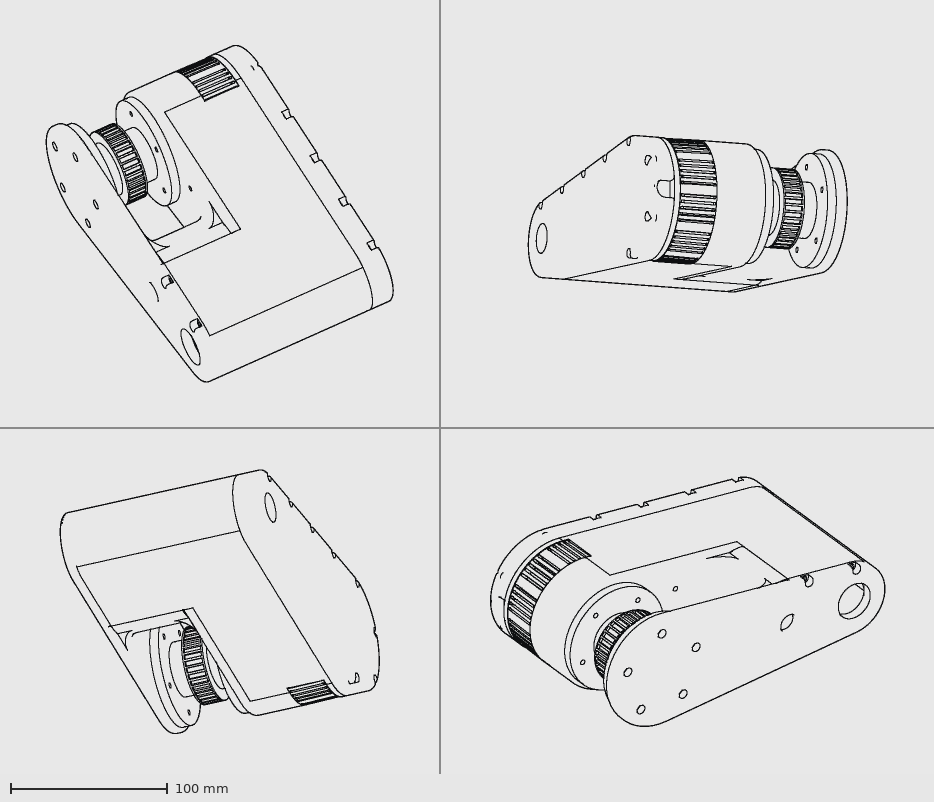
import cadquery as cq
import math

HEAD_RADIUS = 39.5
TAIL_RADIUS = 25.0
TAIL_X = 150.0
SLOPE_SIN = (HEAD_RADIUS - TAIL_RADIUS) / TAIL_X
SLOPE_COS = math.sqrt(1 - SLOPE_SIN**2)

FAR = 3 * TAIL_X

PLATE_THICKNESS = 7.0
FORK_GAP = 49.0
GAP_FRONT_Y = PLATE_THICKNESS
GAP_BACK_Y = GAP_FRONT_Y + FORK_GAP
WALL_BACK_Y = GAP_BACK_Y + PLATE_THICKNESS
LID_THICKNESS = 16.0
BACK_Y = 135.0
LID_FRONT_Y = BACK_Y - LID_THICKNESS
EDGE_FILLET = 2.0

NECK_X = 100.0
NECK_RADIUS = HEAD_RADIUS - SLOPE_SIN * NECK_X
NECK_FILLET = 10.0
NECK_TANGENT_X = NECK_X + NECK_RADIUS * SLOPE_SIN
NECK_HOLE_DIAMETER = 12.6
NECK_HOLE_DEPTH = 6.0
NECK_HOLE_FILLET = 2.2

TAIL_BORE_DIAMETER = 25.0
LID_BORE_DIAMETER = 19.0

HEAD_CAP_X = HEAD_RADIUS * SLOPE_SIN
END_CAP_X = TAIL_X + TAIL_BORE_DIAMETER / 2

SCREW_HEAD_DIAMETER = 6.0
SCREW_HEAD_DEPTH = 5.5
SCREW_HOLE_DIAMETER = 3.3
EDGE_SCREW_INSET = 2.45
WALL_SCREW_POINT = (50.0, 16.4)
LID_SCREW_XS = (41.0, 78.0, 115.0, 152.0)
ARM_SCREW_XS = LID_SCREW_XS[2:]
LID_HEAD_SCREW_RADIUS = 36.5
LID_HEAD_SCREW_ANGLES = (90, 150, 210, 270)

DISC_DIAMETER = 73.0
DISC_THICKNESS = 6.0
DISC_SCREW_COUNT = 5
DISC_SCREW_RADIUS = 28.0
FRONT_DISC_SCREW_ANGLE = 90.0
BACK_DISC_SCREW_ANGLE = 54.0
SHAFT_DIAMETER = 36.0
PULLEY_DIAMETER = 51.0
PULLEY_WIDTH = 14.0
PULLEY_RIM = 1.1
PULLEY_TEETH = 36
TOOTH_GAP_WIDTH = 3.0
TOOTH_GAP_DEPTH = 2.0

GRILLE_FRONT_Y = 90.0
GRILLE_BACK_Y = 115.0
GRILLE_BACK_RADIUS = 39.0
GRILLE_INNER_RADIUS = 36.0
GRILLE_HALF_ANGLE = 102.0
RECESS_CLEARANCE = 1.0
SLOT_FRONT_Y = 90.8
SLOT_BACK_Y = 114.0
SLOT_END_SLOPE = 3.0
SLOT_WIDTH = 1.6
SLOT_PITCH = 6.0
SLOTS_PER_GROUP = 5
SLOT_GROUP_PITCH = 36.0
SLOT_GROUP_COUNT = 6

NOTCH_RADIUS = 5.9
NOTCH_CENTRE_Y = 124.4
NOTCH_DEPTH = 8.0
NOTCH_FILLET = 2.5

TOLERANCE = 0.01


def plane_at(y):
    return cq.Workplane("XZ", origin=(0, y, 0))


def outline_prism(front_y, back_y, inset=0):
    """Full tapered outline, moved inward by the inset, between two positions along Y."""
    head_radius = HEAD_RADIUS - inset
    tail_radius = TAIL_RADIUS - inset
    head_x, head_z = head_radius * SLOPE_SIN, head_radius * SLOPE_COS
    tail_x, tail_z = TAIL_X + tail_radius * SLOPE_SIN, tail_radius * SLOPE_COS
    return (
        plane_at(front_y)
        .moveTo(head_x, head_z)
        .lineTo(tail_x, tail_z)
        .threePointArc((TAIL_X + tail_radius, 0), (tail_x, -tail_z))
        .lineTo(head_x, -head_z)
        .threePointArc((-head_radius, 0), (head_x, head_z))
        .close()
        .extrude(front_y - back_y)
    )


def rounded_plate(front_y, back_y, rounded_faces):
    return outline_prism(front_y, back_y).faces(rounded_faces).edges().fillet(EDGE_FILLET)


def cylinder(diameter, front_y, back_y, points=((0, 0),)):
    return plane_at(front_y).pushPoints(points).circle(diameter / 2).extrude(front_y - back_y)


def slab(low_x, high_x, front_y, back_y):
    """Box taller than every body, used to cut bodies along X and Y."""
    height = 4 * HEAD_RADIUS
    box = cq.Workplane("XY").box(high_x - low_x, back_y - front_y, height)
    return box.translate(((low_x + high_x) / 2, (front_y + back_y) / 2, 0))


def circle_points(radius, angles):
    return [(radius * math.cos(math.radians(a)), radius * math.sin(math.radians(a))) for a in angles]


def edge_screw_points(xs):
    """Points just inside the upper tangent line of the outline."""
    return [(x, (HEAD_RADIUS - SLOPE_SIN * x - EDGE_SCREW_INSET) / SLOPE_COS) for x in xs]


def edge_screw_pockets(xs, front_y, back_y):
    """Screw head pockets that open out through the upper edge."""
    pockets = cylinder(SCREW_HEAD_DIAMETER, front_y, back_y, edge_screw_points(xs))
    openings = (
        plane_at(front_y)
        .pushPoints([(x, z + SCREW_HEAD_DIAMETER / 2) for x, z in edge_screw_points(xs)])
        .rect(SCREW_HEAD_DIAMETER, SCREW_HEAD_DIAMETER)
        .extrude(front_y - back_y)
    )
    return pockets.union(openings)


def disc_screw_points(first_angle):
    step = 360 / DISC_SCREW_COUNT
    return circle_points(DISC_SCREW_RADIUS, [first_angle + i * step for i in range(DISC_SCREW_COUNT)])


def around_head(profile_points):
    """Sector around the head axis, swept from a profile drawn on the left of the head."""
    sector = cq.Workplane("XY").polyline(profile_points).close()
    sector = sector.revolve(2 * GRILLE_HALF_ANGLE, (0, 0, 0), (0, 1, 0))
    return sector.rotate((0, 0, 0), (0, 1, 0), -GRILLE_HALF_ANGLE)


def grille_ring():
    """Ring whose outside narrows slightly toward the back."""
    return around_head(
        [
            (-GRILLE_INNER_RADIUS, GRILLE_FRONT_Y),
            (-HEAD_RADIUS, GRILLE_FRONT_Y),
            (-GRILLE_BACK_RADIUS, GRILLE_BACK_Y),
            (-GRILLE_INNER_RADIUS, GRILLE_BACK_Y),
        ]
    )


def grille_recess():
    """Seat of the grille, open to the outside."""
    outer_radius = HEAD_RADIUS + RECESS_CLEARANCE
    return around_head(
        [
            (-GRILLE_INNER_RADIUS, GRILLE_FRONT_Y),
            (-outer_radius, GRILLE_FRONT_Y),
            (-outer_radius, GRILLE_BACK_Y),
            (-GRILLE_INNER_RADIUS, GRILLE_BACK_Y),
        ]
    )


def grille_slots():
    """Groups of radial slots, each with a sloped back end."""
    slot = (
        cq.Workplane("XY", origin=(0, 0, -SLOT_WIDTH / 2))
        .moveTo(-GRILLE_INNER_RADIUS, SLOT_FRONT_Y)
        .lineTo(-HEAD_RADIUS, SLOT_FRONT_Y)
        .lineTo(-HEAD_RADIUS, SLOT_BACK_Y)
        .lineTo(-GRILLE_BACK_RADIUS, SLOT_BACK_Y)
        .lineTo(-GRILLE_INNER_RADIUS, SLOT_BACK_Y - SLOT_END_SLOPE)
        .close()
        .extrude(SLOT_WIDTH)
        .val()
    )
    slots = []
    for group in range(SLOT_GROUP_COUNT):
        group_angle = (group - (SLOT_GROUP_COUNT - 1) / 2) * SLOT_GROUP_PITCH
        for place in range(SLOTS_PER_GROUP):
            angle = group_angle + (place - (SLOTS_PER_GROUP - 1) / 2) * SLOT_PITCH
            slots.append(slot.rotate(cq.Vector(0, 0, 0), cq.Vector(0, 1, 0), angle))
    return cq.Workplane(obj=cq.Compound.makeCompound(slots))


def make_neck():
    """Neck with flared ends; each flare dies out where the neck leaves the flat of the plate."""
    neck = cylinder(2 * NECK_RADIUS, GAP_FRONT_Y, GAP_BACK_Y, [(NECK_X, 0)])
    ahead_of_housing = slab(-FAR, NECK_TANGENT_X, 0, WALL_BACK_Y)
    seats = outline_prism(GAP_FRONT_Y - EDGE_FILLET, GAP_BACK_Y + EDGE_FILLET, EDGE_FILLET)
    seats = seats.cut(slab(-FAR, FAR, GAP_FRONT_Y, GAP_BACK_Y)).intersect(ahead_of_housing)
    flared = seats.union(neck)
    foot_edges = [
        edge
        for edge in flared.edges("%CIRCLE").vals()
        if abs(edge.radius() - NECK_RADIUS) < TOLERANCE and edge.Center().x < NECK_X - NECK_RADIUS / 2
    ]
    return flared.newObject(foot_edges).fillet(NECK_FILLET).intersect(ahead_of_housing)


def make_arm():
    front_plate = rounded_plate(0, PLATE_THICKNESS, "<Y or >Y")
    wall = rounded_plate(GAP_BACK_Y, WALL_BACK_Y, "<Y").cut(slab(NECK_TANGENT_X, FAR, 0, BACK_Y))
    rear_front_plate = rounded_plate(0, PLATE_THICKNESS, "<Y").cut(slab(-FAR, NECK_TANGENT_X, 0, BACK_Y))
    end_cap = outline_prism(PLATE_THICKNESS, LID_FRONT_Y).cut(slab(-FAR, END_CAP_X, 0, BACK_Y))
    head_cap = outline_prism(WALL_BACK_Y, LID_FRONT_Y).cut(slab(HEAD_CAP_X, FAR, 0, BACK_Y))
    arm = front_plate.union(rear_front_plate).union(make_neck()).union(wall).union(head_cap).union(end_cap)
    arm = arm.cut(cylinder(TAIL_BORE_DIAMETER, 0, LID_FRONT_Y, [(TAIL_X, 0)]))
    neck_hole = cylinder(NECK_HOLE_DIAMETER, 0, NECK_HOLE_DEPTH, [(NECK_X, 0)])
    arm = arm.cut(neck_hole)
    mouth = arm.faces("<Y").edges(cq.selectors.RadiusNthSelector(0))
    arm = mouth.fillet(NECK_HOLE_FILLET)
    disc_screws = disc_screw_points(FRONT_DISC_SCREW_ANGLE)
    screws = disc_screws + edge_screw_points(ARM_SCREW_XS)
    arm = arm.cut(cylinder(SCREW_HEAD_DIAMETER, 0, SCREW_HEAD_DEPTH, disc_screws))
    arm = arm.cut(edge_screw_pockets(ARM_SCREW_XS, 0, SCREW_HEAD_DEPTH))
    arm = arm.cut(cylinder(SCREW_HOLE_DIAMETER, 0, PLATE_THICKNESS, screws))
    arm = arm.cut(cylinder(SCREW_HOLE_DIAMETER, GAP_BACK_Y, WALL_BACK_Y, [WALL_SCREW_POINT]))
    return arm.cut(grille_recess())


def make_housing():
    housing = outline_prism(PLATE_THICKNESS, LID_FRONT_Y)
    housing = housing.cut(slab(-FAR, NECK_TANGENT_X, PLATE_THICKNESS, WALL_BACK_Y))
    housing = housing.cut(slab(-FAR, HEAD_CAP_X, PLATE_THICKNESS, LID_FRONT_Y))
    housing = housing.cut(slab(END_CAP_X, FAR, PLATE_THICKNESS, LID_FRONT_Y))
    housing = housing.cut(cylinder(TAIL_BORE_DIAMETER, PLATE_THICKNESS, LID_FRONT_Y, [(TAIL_X, 0)]))
    return housing.cut(grille_recess())


def cut_notch(lid):
    """Round-ended notch at the head, open toward the front, with a rounded mouth."""
    notch = (
        cq.Workplane("YZ", origin=(NOTCH_DEPTH - HEAD_RADIUS, 0, 0))
        .moveTo(LID_FRONT_Y, NOTCH_RADIUS)
        .lineTo(NOTCH_CENTRE_Y, NOTCH_RADIUS)
        .threePointArc((NOTCH_CENTRE_Y + NOTCH_RADIUS, 0), (NOTCH_CENTRE_Y, -NOTCH_RADIUS))
        .lineTo(LID_FRONT_Y, -NOTCH_RADIUS)
        .close()
        .extrude(-2 * NOTCH_DEPTH)
    )
    lid = lid.cut(notch)
    reach = NOTCH_RADIUS + 10 * TOLERANCE
    mouth = []
    for edge in lid.edges().vals():
        middle = edge.positionAt(0.5)
        on_head = abs(math.hypot(middle.x, middle.z) - HEAD_RADIUS) < TOLERANCE and middle.x < 0
        in_notch = LID_FRONT_Y + 10 * TOLERANCE < middle.y < NOTCH_CENTRE_Y + reach
        if on_head and in_notch and abs(middle.z) < reach:
            mouth.append(edge)
    return lid.newObject(mouth).fillet(NOTCH_FILLET)


def make_lid():
    lid = rounded_plate(LID_FRONT_Y, BACK_Y, ">Y")
    lid = lid.cut(cylinder(LID_BORE_DIAMETER, LID_FRONT_Y, BACK_Y, [(TAIL_X, 0)]))
    lid = cut_notch(lid)
    head_screws = circle_points(LID_HEAD_SCREW_RADIUS, LID_HEAD_SCREW_ANGLES)
    pocket_y = BACK_Y - SCREW_HEAD_DEPTH
    lid = lid.cut(cylinder(SCREW_HEAD_DIAMETER, pocket_y, BACK_Y, head_screws))
    lid = lid.cut(edge_screw_pockets(LID_SCREW_XS, pocket_y, BACK_Y))
    screws = head_screws + edge_screw_points(LID_SCREW_XS)
    return lid.cut(cylinder(SCREW_HOLE_DIAMETER, LID_FRONT_Y, BACK_Y, screws))


def make_discs():
    discs = []
    places = (
        (GAP_FRONT_Y, FRONT_DISC_SCREW_ANGLE),
        (GAP_BACK_Y - DISC_THICKNESS, BACK_DISC_SCREW_ANGLE),
    )
    for front_y, screw_angle in places:
        back_y = front_y + DISC_THICKNESS
        disc = cylinder(DISC_DIAMETER, front_y, back_y)
        screws = disc_screw_points(screw_angle)
        discs.append(disc.cut(cylinder(SCREW_HOLE_DIAMETER, front_y, back_y, screws)))
    return discs


def make_shaft():
    return cylinder(SHAFT_DIAMETER, GAP_FRONT_Y + DISC_THICKNESS, GAP_BACK_Y - DISC_THICKNESS)


def make_pulley():
    """Toothed ring on the shaft with a plain rim at each end."""
    front_y = GAP_FRONT_Y + (FORK_GAP - PULLEY_WIDTH) / 2
    back_y = front_y + PULLEY_WIDTH
    pulley = cylinder(PULLEY_DIAMETER, front_y, back_y).cut(cylinder(SHAFT_DIAMETER, front_y, back_y))
    gaps = (
        plane_at(front_y + PULLEY_RIM)
        .polarArray(PULLEY_DIAMETER / 2, 0, 360, PULLEY_TEETH)
        .rect(2 * TOOTH_GAP_DEPTH, TOOTH_GAP_WIDTH)
        .extrude(2 * PULLEY_RIM - PULLEY_WIDTH)
    )
    return pulley.cut(gaps)


def make_grille():
    return grille_ring().cut(grille_slots())


bodies = [
    make_arm(),
    make_housing(),
    make_lid(),
    *make_discs(),
    make_shaft(),
    make_pulley(),
    make_grille(),
]
result = cq.Compound.makeCompound([body.solids().val() for body in bodies])